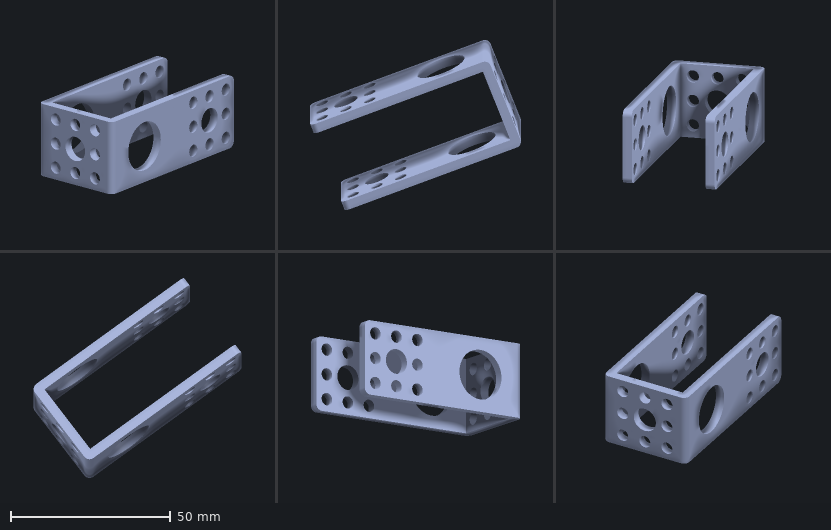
import cadquery as cq

width = 30.0
length = 60.0
height = 24.0
wall = 3.0

pitch = height / 3
small_hole = pitch / 2
center_hole = pitch
large_hole = 2 * pitch
corner_radius = pitch / 4

arm_pattern_y = length / 2 - height / 2
large_hole_y = -length / 2 + 2 * pitch

arm_cut_depth = width
base_cut_depth = wall


def hole_pattern(plane, depth):
    """Central hole ringed by eight small holes, as a cutting tool."""
    tool = cq.Workplane(plane).circle(center_hole / 2).extrude(depth)
    ring = [
        (column * pitch, row * pitch)
        for column in (-1, 0, 1)
        for row in (-1, 0, 1)
        if (column, row) != (0, 0)
    ]
    small_holes = cq.Workplane(plane).pushPoints(ring).circle(small_hole / 2).extrude(depth)
    return tool.add(small_holes).combine()


def arm_plane(y):
    """Plane on the outer face of the left arm, facing across to the right arm."""
    return cq.Plane(origin=(-width / 2, y, 0), xDir=(0, 1, 0), normal=(1, 0, 0))


def bracket_body():
    """U channel open toward +Y, with rounded bends and arm tips."""
    body = cq.Workplane("XY").box(width, length, height)
    body = body.edges("|Z and <Y").fillet(corner_radius)
    cavity = (
        cq.Workplane("XY")
        .box(width - 2 * wall, length, height)
        .translate((0, wall, 0))
    )
    body = body.cut(cavity)
    return body.faces(">Y").edges("|X").fillet(corner_radius)


arm_pattern = hole_pattern(arm_plane(arm_pattern_y), arm_cut_depth)
large_holes = (
    cq.Workplane(arm_plane(large_hole_y))
    .circle(large_hole / 2)
    .extrude(arm_cut_depth)
)

base_plane = cq.Plane(origin=(0, -length / 2, 0), xDir=(1, 0, 0), normal=(0, 1, 0))
base_pattern = hole_pattern(base_plane, base_cut_depth)

result = bracket_body().cut(arm_pattern).cut(large_holes).cut(base_pattern)